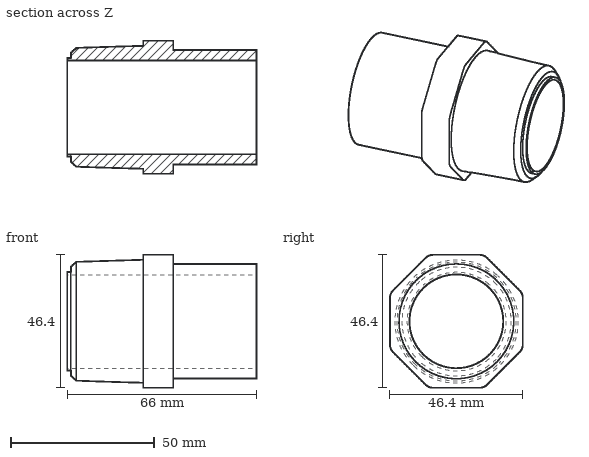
import cadquery as cq

total_length = 66.0
lip_end = 1.3
chamfer_end = 3.2
collar_start = 26.5
collar_width = 10.5

bore_diameter = 32.6
lip_diameter = 34.45
chamfer_small_diameter = 38.0
taper_small_diameter = 41.5
taper_ratio = 1 / 16
taper_large_diameter = taper_small_diameter + taper_ratio * (collar_start - chamfer_end)
spigot_diameter = 40.0

collar_across_flats = 46.4
collar_sides = 8
collar_corner_radius = 3.75


def revolved_body():
    """Lip, chamfered taper and plain spigot, turned about the X axis."""
    profile = [
        (0, 0),
        (0, lip_diameter / 2),
        (lip_end, lip_diameter / 2),
        (lip_end, chamfer_small_diameter / 2),
        (chamfer_end, taper_small_diameter / 2),
        (collar_start, taper_large_diameter / 2),
        (collar_start, spigot_diameter / 2),
        (total_length, spigot_diameter / 2),
        (total_length, 0),
    ]
    return cq.Workplane("XZ").polyline(profile).close().revolve(360, (0, 0, 0), (1, 0, 0))


def octagon_collar():
    """Octagonal prism with flats facing Y and Z and rounded corners."""
    return (
        cq.Workplane("YZ", origin=(collar_start, 0, 0))
        .polygon(collar_sides, collar_across_flats, circumscribed=True)
        .extrude(collar_width)
        .edges("|X")
        .fillet(collar_corner_radius)
    )


def through_bore():
    """Cylinder removed along the whole length."""
    return cq.Workplane("YZ").circle(bore_diameter / 2).extrude(total_length)


result = revolved_body().union(octagon_collar()).cut(through_bore())